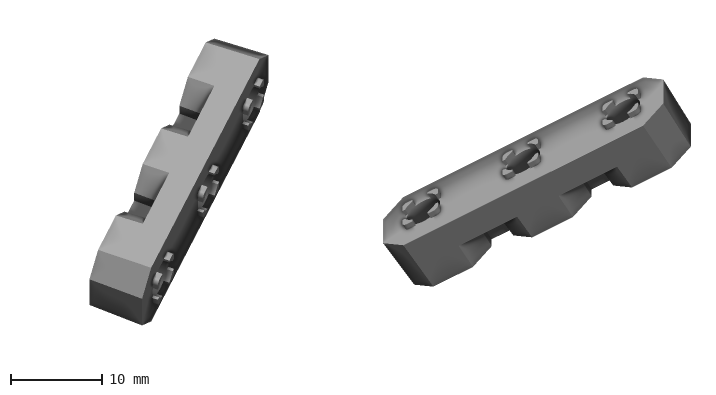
import cadquery as cq

LENGTH = 35.55
HEIGHT = 10.17
TOTAL_DEPTH = 7.05
PEG_LENGTH = 0.68
CORNER_CUT = 2.55
DRAFT = 2.0
HOLE_DIAMETER = 4.25
WEB_HEIGHT = 2.03
PEG_SQUARE = 4.55
PEG_CORNER_RADIUS = 0.57
PEG_GAP = 1.92

BODY_DEPTH = TOTAL_DEPTH - PEG_LENGTH
POCKET_DEPTH = BODY_DEPTH / 2
FLOOR_X = POCKET_DEPTH - BODY_DEPTH
HOLE_PITCH = (LENGTH - HEIGHT) / 2
HOLE_CENTERS = [-HOLE_PITCH, 0, HOLE_PITCH]


def facing_front(x, y=0):
    """Workplane at the given X and Y that extrudes towards -X."""
    return cq.Workplane(cq.Plane(origin=(x, y, 0), xDir=(0, 1, 0), normal=(-1, 0, 0)))


def facing_back(x, y=0):
    """Workplane at the given X and Y that extrudes towards +X."""
    return cq.Workplane("YZ", origin=(x, y, 0))


def cut_corner_prism(x, y, length, depth):
    """Drafted bar of full height with 45 degree corners, narrowing towards -X."""
    half_length = length / 2
    half_height = HEIGHT / 2
    flat_y = half_length - CORNER_CUT
    flat_z = half_height - CORNER_CUT
    outline = [
        (half_length, -flat_z),
        (half_length, flat_z),
        (flat_y, half_height),
        (-flat_y, half_height),
        (-half_length, flat_z),
        (-half_length, -flat_z),
        (-flat_y, -half_height),
        (flat_y, -half_height),
    ]
    return facing_front(x, y).polyline(outline).close().extrude(depth, taper=DRAFT)


def make_body():
    """Drafted bar whose front half is reduced to three octagons and their joining web."""
    envelope = cut_corner_prism(0, 0, LENGTH, BODY_DEPTH)
    kept = facing_front(0).rect(LENGTH, HEIGHT).extrude(BODY_DEPTH - POCKET_DEPTH)
    kept = kept.union(facing_front(FLOOR_X).rect(2 * HOLE_PITCH, WEB_HEIGHT).extrude(POCKET_DEPTH))
    for y in HOLE_CENTERS:
        kept = kept.union(cut_corner_prism(FLOOR_X, y, HEIGHT, POCKET_DEPTH))
    return envelope.intersect(kept)


def make_pegs(y):
    """Rounded square block on the back face, split into four pegs by a cross-shaped gap."""
    block = (
        facing_back(0, y)
        .sketch()
        .rect(PEG_SQUARE, PEG_SQUARE)
        .vertices()
        .fillet(PEG_CORNER_RADIUS)
        .finalize()
        .extrude(PEG_LENGTH, taper=DRAFT)
    )
    gap_along_y = facing_back(0, y).rect(PEG_SQUARE, PEG_GAP).extrude(PEG_LENGTH)
    gap_along_z = facing_back(0, y).rect(PEG_GAP, PEG_SQUARE).extrude(PEG_LENGTH)
    return block.cut(gap_along_y).cut(gap_along_z)


result = make_body()
for center_y in HOLE_CENTERS:
    result = result.union(make_pegs(center_y))

for center_y in HOLE_CENTERS:
    hole = facing_back(-BODY_DEPTH, center_y).circle(HOLE_DIAMETER / 2).extrude(TOTAL_DEPTH)
    result = result.cut(hole)